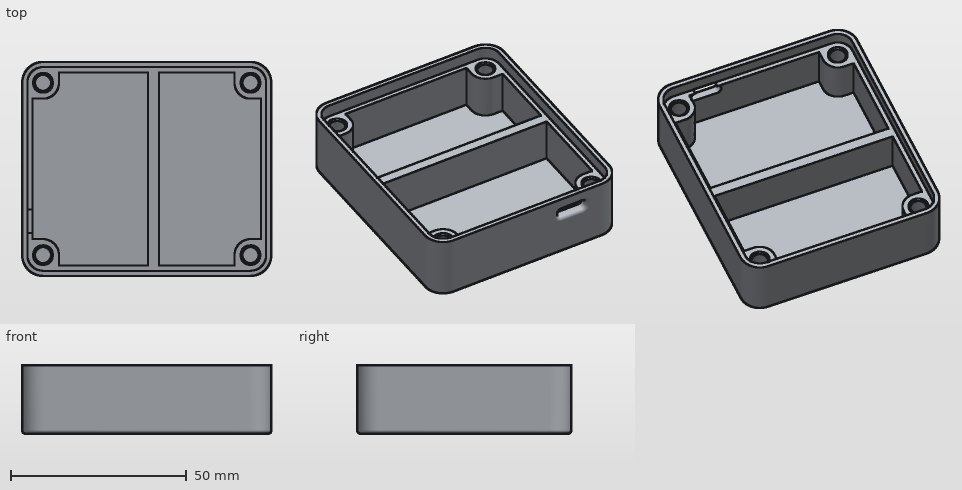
import cadquery as cq

length = 71.0
width = 61.0
height = 19.6
corner_radius = 5.95
bottom_fillet = 1.0

rim_thickness = 1.5
recess_depth = 4.0
wall_thickness = 3.0
floor_thickness = 2.0
divider_thickness = 3.1
divider_left = 35.9 - length / 2

post_radius = 4.55
screw_diameter = 4.6
screw_depth = 9.95
screw_chamfer = 0.5

port_length = 9.4
port_height = 3.1
port_radius = 1.35
port_fillet = 1.1
port_y = 15.6 - width / 2

ledge_z = height - recess_depth
port_z = ledge_z - port_height / 2
cavity_length = length - 2 * wall_thickness
cavity_width = width - 2 * wall_thickness
cavity_height = ledge_z - floor_thickness
post_x = length / 2 - corner_radius
post_y = width / 2 - corner_radius


def block(size_x, size_y, size_z, base_z):
    """Box centred in X and Y, standing on base_z."""
    return cq.Workplane("XY").workplane(offset=base_z).rect(size_x, size_y).extrude(size_z)


def corner_post(side_x, side_y):
    """Round post joined to both adjacent walls by a square-sided web."""
    base = cq.Workplane("XY").workplane(offset=floor_thickness)
    x, y = side_x * post_x, side_y * post_y
    reach = corner_radius - rim_thickness
    web_x = (
        base.center(x + side_x * reach / 2, y)
        .rect(reach, 2 * post_radius)
        .extrude(cavity_height)
    )
    web_y = (
        base.center(x, y + side_y * reach / 2)
        .rect(2 * post_radius, reach)
        .extrude(cavity_height)
    )
    return base.center(x, y).circle(post_radius).extrude(cavity_height).union(web_x).union(web_y)


def make_shell():
    """Rounded box with a lid recess in its top."""
    outer = block(length, width, height, 0).edges("|Z").fillet(corner_radius)
    outer = outer.faces("<Z").edges().fillet(bottom_fillet)
    recess = block(length - 2 * rim_thickness, width - 2 * rim_thickness, recess_depth, ledge_z)
    return outer.cut(recess.edges("|Z").fillet(corner_radius - rim_thickness))


def make_compartments():
    """Space of the two compartments around the divider and the posts."""
    space = block(cavity_length, cavity_width, cavity_height, floor_thickness)
    divider = block(divider_thickness, width, cavity_height, floor_thickness)
    space = space.cut(divider.translate((divider_left + divider_thickness / 2, 0, 0)))
    for side_x in (-1, 1):
        for side_y in (-1, 1):
            space = space.cut(corner_post(side_x, side_y))
    return space


def cut_screw_holes(body):
    """Blind holes in the posts, chamfered at the mouth."""
    mouth_radius = screw_diameter / 2 + screw_chamfer
    points = [(x, y) for x in (-post_x, post_x) for y in (-post_y, post_y)]
    top = cq.Workplane("XY").workplane(offset=ledge_z).pushPoints(points)
    holes = top.circle(screw_diameter / 2).extrude(-screw_depth)
    mouth = cq.Solid.makeCone(mouth_radius, screw_diameter / 2, screw_chamfer, dir=cq.Vector(0, 0, -1))
    mouths = top.eachpoint(lambda place: mouth.moved(place))
    return body.cut(holes).cut(mouths)


def cut_port(body):
    """Rounded opening through the wall, with a rounded outer edge."""
    port = (
        cq.Workplane("YZ", origin=(-length / 2, port_y, port_z))
        .rect(port_length, port_height)
        .extrude(wall_thickness)
        .edges("|X")
        .fillet(port_radius)
    )
    return body.cut(port)


def round_port_edge(body):
    """Round the port's edge on the outer wall."""
    reach = 0.1
    area = cq.selectors.BoxSelector(
        (-length / 2 - reach, port_y - port_length, port_z - port_height),
        (-length / 2 + reach, port_y + port_length, port_z + port_height),
    )
    return body.edges(area).fillet(port_fillet)


shell = make_shell().cut(make_compartments())
result = round_port_edge(cut_port(cut_screw_holes(shell)))